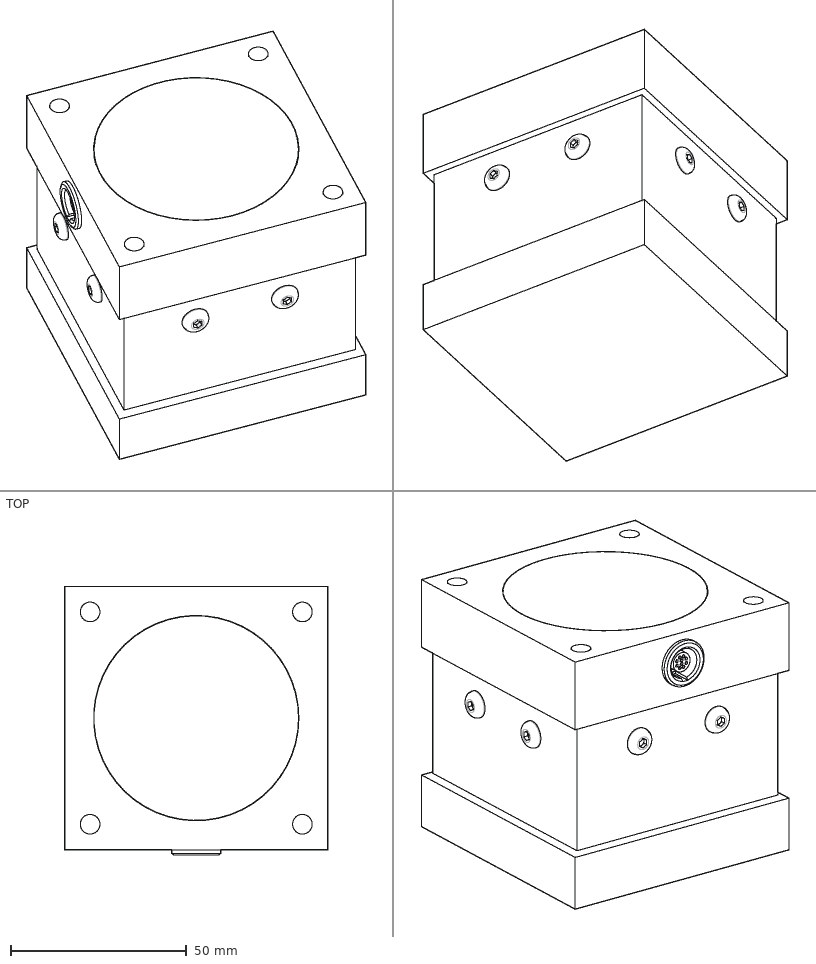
import cadquery as cq
import math

slab_width = 74.9
neck_width = 56.25
body_width = 70.4
base_height = 16.0
neck_height = 0.8
body_height = 38.6
total_height = 76.2
body_bottom = base_height + neck_height
cap_bottom = body_bottom + body_height
cap_height = total_height - cap_bottom

plate_diameter = 58.2
plate_recess_diameter = 58.4
plate_gap_depth = 0.8

mount_hole_diameter = 5.6
mount_hole_spacing = 60.4

screw_spacing = 27.2
screw_height = 45.3
head_diameter = 7.95
head_flat_diameter = 3.8
head_height = 2.2
head_rim_height = 0.3
head_shoulder_radius = 3.45
head_shoulder_height = 1.6
socket_flats = 2.45
socket_depth = 1.3
socket_tip_depth = 0.7

connector_height = 66.95
shell_diameter = 14.0
shell_projection = 1.5
shell_face_diameter = 12.7
shell_chamfer_depth = 0.5
bore_mouth_diameter = 10.3
bore_diameter = 9.0
bore_chamfer = (bore_mouth_diameter - bore_diameter) / 2
bore_depth = 7.65
keyway_width = 1.8
keyway_radius = 5.2
keyway_depth = 6.1
insert_diameter = 5.9
insert_length = 5.9
pin_hole_diameter = 0.85
pin_hole_depth = 0.8
outer_pin_count = 8
outer_pin_circle_radius = 1.75
inner_pin_offset = 0.5


def square_block(width, bottom, height):
    """Square block centred on the Z axis."""
    return cq.Workplane("XY", origin=(0, 0, bottom)).rect(width, width).extrude(height)


def build_housing():
    housing = square_block(slab_width, 0, base_height)
    housing = housing.union(square_block(neck_width, base_height, neck_height))
    housing = housing.union(square_block(body_width, body_bottom, body_height))
    return housing.union(square_block(slab_width, cap_bottom, cap_height))


def cut_plate_gap(part):
    gap = (
        cq.Workplane("XY", origin=(0, 0, total_height))
        .circle(plate_recess_diameter / 2)
        .circle(plate_diameter / 2)
        .extrude(-plate_gap_depth)
    )
    return part.cut(gap)


def cut_mount_holes(part):
    holes = (
        cq.Workplane("XY", origin=(0, 0, total_height))
        .rect(mount_hole_spacing, mount_hole_spacing, forConstruction=True)
        .vertices()
        .circle(mount_hole_diameter / 2)
        .extrude(-cap_height)
    )
    return part.cut(holes)


def build_screw_head():
    """Domed screw head on the XY plane, with a hexagonal socket in its +Z end."""
    dome = (
        cq.Workplane("XZ")
        .lineTo(head_diameter / 2, 0)
        .lineTo(head_diameter / 2, head_rim_height)
        .threePointArc(
            (head_shoulder_radius, head_shoulder_height),
            (head_flat_diameter / 2, head_height),
        )
        .lineTo(0, head_height)
        .close()
        .revolve(360, (0, 0), (0, 1))
    )
    socket_corners = socket_flats / math.cos(math.pi / 6)
    socket = (
        cq.Workplane("XY", origin=(0, 0, head_height))
        .polygon(6, socket_corners)
        .extrude(-socket_depth)
        .rotate((0, 0, 0), (0, 0, 1), 30)
    )
    tip = cq.Workplane(
        cq.Solid.makeCone(
            socket_flats / 2,
            0,
            socket_tip_depth,
            pnt=cq.Vector(0, 0, head_height - socket_depth),
            dir=cq.Vector(0, 0, -1),
        )
    )
    return dome.cut(socket).cut(tip)


def add_screws(part):
    front_head = build_screw_head().rotate((0, 0, 0), (1, 0, 0), 90)
    for x in (-screw_spacing / 2, screw_spacing / 2):
        placed_head = front_head.translate((x, -body_width / 2, screw_height))
        for angle in (0, 90, 180, 270):
            part = part.union(placed_head.rotate((0, 0, 0), (0, 0, 1), angle))
    return part


def connector_plane(y):
    """Work plane across the connector axis, facing -Y, at the given Y."""
    return cq.Workplane("XZ", origin=(0, y, connector_height))


def add_connector(part):
    cap_front = -slab_width / 2
    shell_front = cap_front - shell_projection
    bore_floor = shell_front + bore_depth
    insert_front = bore_floor - insert_length

    shell = (
        connector_plane(cap_front)
        .circle(shell_diameter / 2)
        .extrude(shell_projection)
        .faces("<Y")
        .chamfer(shell_chamfer_depth, (shell_diameter - shell_face_diameter) / 2)
    )
    bore = connector_plane(bore_floor).circle(bore_diameter / 2).extrude(bore_depth)
    mouth = cq.Workplane(
        cq.Solid.makeCone(
            bore_mouth_diameter / 2,
            bore_diameter / 2,
            bore_chamfer,
            pnt=cq.Vector(0, shell_front, connector_height),
            dir=cq.Vector(0, 1, 0),
        )
    )
    keyway = (
        connector_plane(shell_front)
        .center(0, -keyway_radius / 2)
        .rect(keyway_width, keyway_radius)
        .extrude(-keyway_depth)
    )
    insert = connector_plane(bore_floor).circle(insert_diameter / 2).extrude(insert_length)
    outer_pin_holes = (
        connector_plane(insert_front)
        .polarArray(outer_pin_circle_radius, 180 / outer_pin_count, 360, outer_pin_count)
        .circle(pin_hole_diameter / 2)
        .extrude(-pin_hole_depth)
    )
    inner_pin_holes = (
        connector_plane(insert_front)
        .pushPoints([(0, -inner_pin_offset), (0, inner_pin_offset)])
        .circle(pin_hole_diameter / 2)
        .extrude(-pin_hole_depth)
    )
    part = part.union(shell).cut(bore).cut(mouth).cut(keyway)
    return part.union(insert).cut(outer_pin_holes).cut(inner_pin_holes)


result = build_housing()
result = cut_plate_gap(result)
result = cut_mount_holes(result)
result = add_screws(result)
result = add_connector(result)